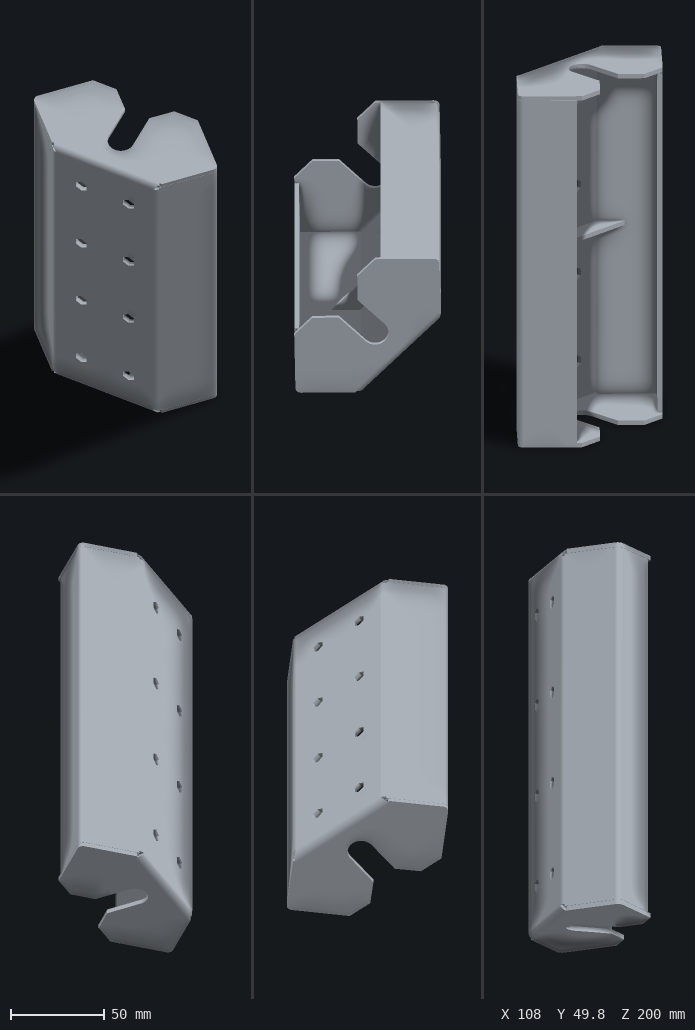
import cadquery as cq
import math

height = 200.0
depth = 49.8
width = 108.0

front_bend_radius = 3.8
side_bend_radius = 3.0
side_bend_inner_radius = 0.5
sheet = side_bend_radius - side_bend_inner_radius
wall_angle = math.radians(44.6)
side_y = 25.5
wall_end_y = 47.8
flange_gap = 0.1

flange_corner_y = 2.5
fold_half_inner = 28.8
fold_half_outer = 31.5
slot_width = 14.5
slot_centre_y = 19.8
slot_chamfer = 10.0

hole_flats = 6.5
hole_pitch_x = 28.0
hole_pitch_z = 50.0
hole_columns = 2
hole_rows = 4

rib_depth_y = 13.5

half_height = height / 2
flange_inner_z = half_height - sheet
wall_half_height = flange_inner_z - flange_gap
fold_z = half_height - front_bend_radius
wall_slope = math.tan(wall_angle)
side_half = width / 2 + side_bend_radius * (1 / math.cos(wall_angle) - 1)
front_half = side_half - side_y * wall_slope
rear_half = side_half - (depth - side_y) * wall_slope
wall_end_half = side_half - (wall_end_y - side_y) * wall_slope


def extrude_z(sketch, half_length):
    """Extrude a plan outline symmetrically about the mid height."""
    return sketch.extrude(half_length, both=True)


def channel_block(inset, half_length, rear_y):
    """Filled channel section, its walls moved inward by inset, with rounded bends."""
    front_turn = math.pi / 2 - wall_angle
    x_side = side_half - inset / math.cos(wall_angle)
    x_front = front_half - inset * math.tan(front_turn / 2)
    x_rear = x_side - (rear_y - side_y) * wall_slope
    outline = [
        (-x_front, inset), (x_front, inset), (x_side, side_y),
        (x_rear, rear_y), (-x_rear, rear_y), (-x_side, side_y),
    ]
    block = extrude_z(cq.Workplane("XY").polyline(outline).close(), half_length)
    near_front = cq.selectors.BoxSelector((-width, -sheet, -height), (width, 2 * sheet, height))
    near_sides = cq.selectors.BoxSelector((-width, side_y - sheet, -height), (width, side_y + sheet, height))
    block = block.edges("|Z").edges(near_front).fillet(front_bend_radius - inset)
    return block.edges("|Z").edges(near_sides).fillet(side_bend_radius - inset)


def rear_opening():
    """Space between the rear walls, its sides square to the walls at their ends."""
    run = 2 * sheet
    step_x = run * math.cos(wall_angle)
    step_y = run * math.sin(wall_angle)
    outline = [
        (-wall_end_half - step_x, wall_end_y + step_y), (-wall_end_half + step_x, wall_end_y - step_y),
        (wall_end_half - step_x, wall_end_y - step_y), (wall_end_half + step_x, wall_end_y + step_y),
    ]
    return extrude_z(cq.Workplane("XY").polyline(outline).close(), height)


def channel_walls():
    """Front panel with its two side walls, folded back at the widest points."""
    outer = channel_block(0, wall_half_height, depth)
    inner = channel_block(sheet, height, depth + sheet)
    walls = outer.cut(inner).cut(rear_opening())
    bend_zone = cq.Workplane("XY").box(2 * fold_half_outer, 2 * sheet, height)
    bend_zone = bend_zone.cut(cq.Workplane("XY").box(width, depth, 2 * fold_z))
    return walls.cut(bend_zone)


def end_flange():
    """Top flange with its open slot."""
    x_corner = front_half + flange_corner_y * wall_slope
    outline = [
        (-fold_half_outer, front_bend_radius), (fold_half_outer, front_bend_radius),
        (fold_half_outer, flange_corner_y), (x_corner, flange_corner_y),
        (side_half, side_y), (rear_half, depth), (-rear_half, depth), (-side_half, side_y),
        (-x_corner, flange_corner_y), (-fold_half_outer, flange_corner_y),
    ]
    plate = cq.Workplane("XY").workplane(offset=flange_inner_z).polyline(outline).close().extrude(sheet)
    near_sides = cq.selectors.BoxSelector((-width, side_y - sheet, 0), (width, side_y + sheet, height))
    plate = plate.edges("|Z").edges(near_sides).fillet(side_bend_radius)
    slot_half = slot_width / 2
    chamfer_y = depth - slot_chamfer
    mouth_half = slot_half + slot_chamfer
    slot = (
        cq.Workplane("XY")
        .moveTo(-slot_half, slot_centre_y)
        .threePointArc((0, slot_centre_y - slot_half), (slot_half, slot_centre_y))
        .lineTo(slot_half, chamfer_y)
        .lineTo(mouth_half, depth)
        .lineTo(-mouth_half, depth)
        .lineTo(-slot_half, chamfer_y)
        .close()
    )
    return plate.cut(slot.extrude(height))


def flange_bend():
    """Quarter round bend joining the front panel to the top flange, mitred at its ends."""
    mid = math.sqrt(0.5)
    inner_radius = front_bend_radius - sheet
    ring = (
        cq.Workplane("YZ")
        .moveTo(0, fold_z)
        .threePointArc(
            (front_bend_radius * (1 - mid), fold_z + front_bend_radius * mid),
            (front_bend_radius, half_height),
        )
        .lineTo(front_bend_radius, flange_inner_z)
        .threePointArc(
            (front_bend_radius - inner_radius * mid, fold_z + inner_radius * mid),
            (sheet, fold_z),
        )
        .close()
        .extrude(fold_half_outer, both=True)
    )
    mitre = (
        cq.Workplane("XZ")
        .polyline([
            (-fold_half_inner, fold_z), (fold_half_inner, fold_z),
            (fold_half_outer, half_height), (-fold_half_outer, half_height),
        ])
        .close()
        .extrude(depth, both=True)
    )
    return ring.intersect(mitre)


def mounting_holes():
    """Two columns of hexagonal through holes in the front panel, each with a corner up."""
    across_corners = hole_flats / math.cos(math.pi / 6)
    places = [
        (hole_pitch_x * (column - (hole_columns - 1) / 2), hole_pitch_z * (row - (hole_rows - 1) / 2))
        for column in range(hole_columns)
        for row in range(hole_rows)
    ]
    return (
        cq.Workplane("XZ")
        .sketch()
        .push(places)
        .regularPolygon(across_corners / 2, 6)
        .finalize()
        .extrude(2 * sheet, both=True)
    )


def make_bracket():
    """Folded sheet channel, closed by a slotted flange at each end."""
    top_end = end_flange().union(flange_bend())
    bracket = channel_walls().union(top_end).union(top_end.mirror("XY"))
    return bracket.cut(mounting_holes())


def make_rib():
    """Flat cross rib that fits the front of the channel at mid height."""
    front_space = cq.Workplane("XY").box(width, 2 * rib_depth_y, height)
    return channel_block(sheet, sheet / 2, depth).intersect(front_space)


bracket = make_bracket()
rib = make_rib()
result = cq.Compound.makeCompound([bracket.val(), rib.val()])